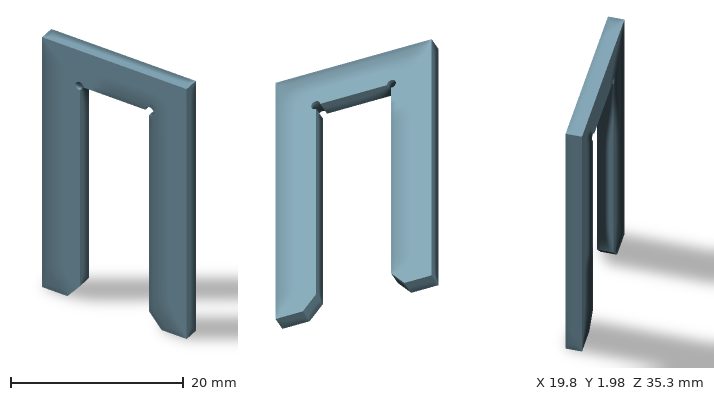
import cadquery as cq

width = 19.8
thickness = 1.98
height = 35.3

slot_width = 9.5
bridge_height = 5.0
slot_top = height - bridge_height

bevel_width = 1.7
bevel_height = 2.0

relief_diameter = 1.13
relief_spacing = 9.6


def front_sketch():
    """Sketch plane on the front face, with the origin at its bottom centre."""
    return cq.Workplane("XZ")


def make_plate():
    return front_sketch().rect(width, height).extrude(thickness).translate((0, 0, height / 2))


def make_slot():
    half_slot = slot_width / 2
    half_mouth = half_slot + bevel_width
    outline = [
        (-half_mouth, 0),
        (-half_slot, bevel_height),
        (-half_slot, slot_top),
        (half_slot, slot_top),
        (half_slot, bevel_height),
        (half_mouth, 0),
    ]
    return front_sketch().polyline(outline).close().extrude(thickness)


def make_corner_reliefs():
    centres = [(side * relief_spacing / 2, slot_top) for side in (-1, 1)]
    return front_sketch().pushPoints(centres).circle(relief_diameter / 2).extrude(thickness)


result = make_plate().cut(make_slot()).cut(make_corner_reliefs())